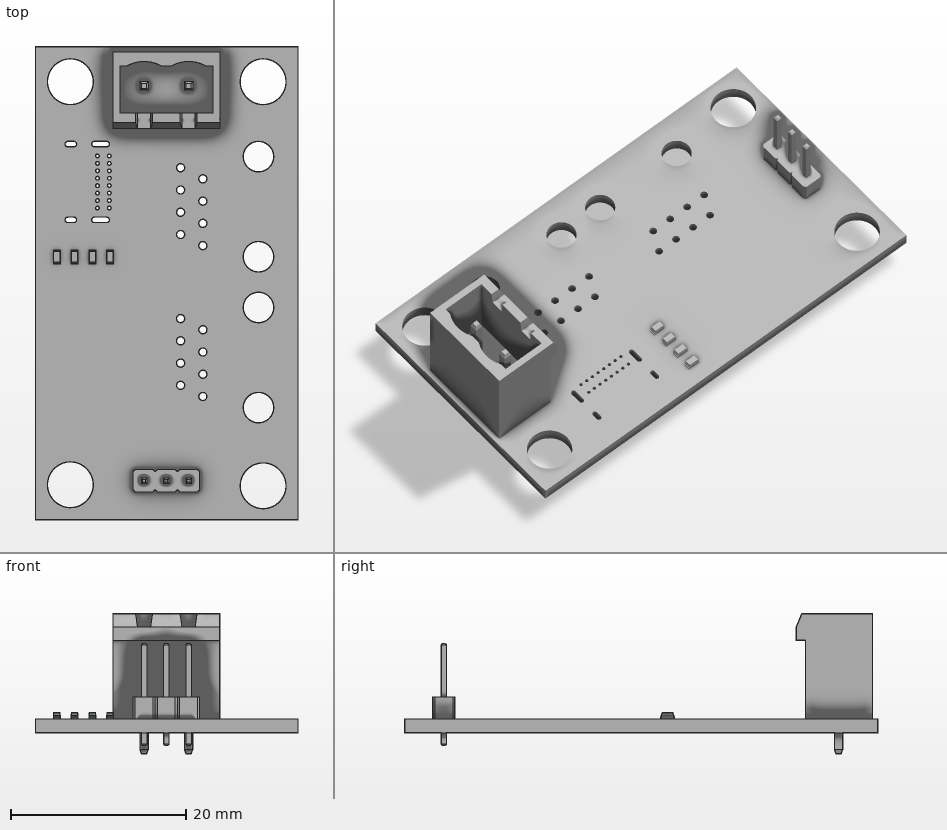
import cadquery as cq

BOARD_X = 30.0
BOARD_Y = 54.0
BOARD_T = 1.6

MOUNT_DIA = 5.2
MOUNT_INSET = 4.0
MOUNT_CORNER_SHIFT = 0.12

JACK_CENTERS_Y = (35.74, 18.52)
POST_DIA = 3.45
POST_X = 25.47
POST_SPACING = 11.43
CONTACT_DIA = 0.9
CONTACT_PITCH = 1.27
CONTACT_COUNT = 8
NEAR_ROW_X = POST_X - 6.35
FAR_ROW_X = NEAR_ROW_X - 2.54

USB_Y = 38.56
USB_HOLE_DIA = 0.4
USB_HOLE_PITCH = 0.85
USB_HOLES_PER_ROW = 8
USB_ROWS_X = (7.09, 8.44)
USB_SLOT_SPACING = 8.65
USB_SLOT_WIDTH = 0.6
USB_SLOTS = ((4.05, 1.3), (7.45, 2.0))

CONNECTOR_X = 14.95

TERMINAL_PITCH = 5.08
BLOCK_X = 12.2
BLOCK_Y = 7.7
BLOCK_H = 12.0
BLOCK_BACK_Y = 53.42
LIP_OVERHANG = 1.03
LIP_BOTTOM_H = 8.95
LIP_BEVEL_H = 1.5
LIP_BEVEL_RUN = 0.63
CAVITY_X = 10.62
CAVITY_BACK_WALL = 1.64
CAVITY_Y = 5.36
CAVITY_DEPTH = 8.5
SCALLOP_WIDTH = 3.95
SCALLOP_DEPTH = 0.54
NOTCH_TOP_WIDTH = 1.95
NOTCH_FLOOR_WIDTH = 1.5
TERMINAL_PIN = 0.98
TERMINAL_PIN_Y = 49.52
TERMINAL_PIN_TOP = 10.1
TERMINAL_PIN_BELOW = 2.4
TERMINAL_PIN_TAPER = 0.2
TERMINAL_PIN_TIP_H = 0.5
TERMINAL_HOLE_DIA = 1.4

HEADER_PITCH = 2.54
HEADER_COUNT = 3
HEADER_Y = 4.465
HEADER_H = 2.5
HEADER_CHAMFER = 0.25
HEADER_PIN = 0.64
HEADER_PIN_TOP = 8.6
HEADER_PIN_BELOW = 1.45
HEADER_PIN_TAPER = 0.16
HEADER_HOLE_DIA = 1.0

LED_COUNT = 4
LED_FIRST_X = 2.45
LED_PITCH = 2.03
LED_Y = 30.0
LED_X = 0.8
LED_LENGTH = 1.6
LED_BASE_H = 0.2
LED_LENS_LENGTH = 1.45
LED_LENS_FOOT_H = 0.15
LED_LENS_TAPER_H = 0.35
LED_LENS_TOP_X = 0.7
LED_LENS_TOP_LENGTH = 1.2


def row(count, pitch, center=0.0):
    """Evenly spaced positions about a centre."""
    return [center + (i - (count - 1) / 2) * pitch for i in range(count)]


TERMINAL_PIN_POINTS = [(x, TERMINAL_PIN_Y) for x in row(2, TERMINAL_PITCH, CONNECTOR_X)]
HEADER_PIN_POINTS = [(x, HEADER_Y) for x in row(HEADER_COUNT, HEADER_PITCH, CONNECTOR_X)]


def square_pin(point, size, bottom, top, taper, tip_height):
    """Square pin whose two ends taper to smaller squares."""
    tip = size - 2 * taper

    def frustum(z, first, last):
        lower = cq.Workplane("XY", origin=(*point, z)).rect(first, first)
        return lower.workplane(offset=tip_height).rect(last, last).loft()

    shank_length = top - bottom - 2 * tip_height
    shank = (
        cq.Workplane("XY", origin=(*point, bottom + tip_height))
        .rect(size, size)
        .extrude(shank_length)
    )
    return shank.union(frustum(bottom, tip, size)).union(frustum(top - tip_height, size, tip))


def drill(points, diameter):
    return cq.Workplane("XY").pushPoints(points).circle(diameter / 2).extrude(BOARD_T)


def make_board():
    board = cq.Workplane("XY").box(BOARD_X, BOARD_Y, BOARD_T, centered=False)

    right_x = BOARD_X - MOUNT_INSET
    back_y = BOARD_Y - MOUNT_INSET
    mounts = [
        (MOUNT_INSET, MOUNT_INSET),
        (MOUNT_INSET, back_y),
        (right_x, back_y),
        (right_x, MOUNT_INSET - MOUNT_CORNER_SHIFT),
    ]
    board = board.cut(drill(mounts, MOUNT_DIA))

    for jack_y in JACK_CENTERS_Y:
        posts = [(POST_X, y) for y in row(2, POST_SPACING, jack_y)]
        contacts = [
            (NEAR_ROW_X if i % 2 == 0 else FAR_ROW_X, y)
            for i, y in enumerate(row(CONTACT_COUNT, CONTACT_PITCH, jack_y))
        ]
        board = board.cut(drill(posts, POST_DIA)).cut(drill(contacts, CONTACT_DIA))

    usb_rows_y = row(USB_HOLES_PER_ROW, USB_HOLE_PITCH, USB_Y)
    usb_holes = [(x, y) for x in USB_ROWS_X for y in usb_rows_y]
    board = board.cut(drill(usb_holes, USB_HOLE_DIA))
    for slot_x, slot_length in USB_SLOTS:
        slot_points = [(slot_x, y) for y in row(2, USB_SLOT_SPACING, USB_Y)]
        slots = cq.Workplane("XY").pushPoints(slot_points).slot2D(slot_length, USB_SLOT_WIDTH)
        board = board.cut(slots.extrude(BOARD_T))

    board = board.cut(drill(TERMINAL_PIN_POINTS, TERMINAL_HOLE_DIA))
    return board.cut(drill(HEADER_PIN_POINTS, HEADER_HOLE_DIA))


def make_terminal_block():
    """Open-topped housing with a latching lip on its -Y side, fused with its two pins."""
    top_z = BOARD_T + BLOCK_H
    bevel_z = top_z - LIP_BEVEL_H
    front_y = BLOCK_BACK_Y - BLOCK_Y
    lip_y = front_y - LIP_OVERHANG
    lip_bottom_z = BOARD_T + LIP_BOTTOM_H
    profile = [
        (BLOCK_BACK_Y, BOARD_T),
        (BLOCK_BACK_Y, top_z),
        (lip_y + LIP_BEVEL_RUN, top_z),
        (lip_y, bevel_z),
        (lip_y, lip_bottom_z),
        (front_y, lip_bottom_z),
        (front_y, BOARD_T),
    ]
    side = cq.Workplane("YZ", origin=(CONNECTOR_X, 0, 0)).polyline(profile).close()
    block = side.extrude(BLOCK_X / 2, both=True)

    back_y = BLOCK_BACK_Y - CAVITY_BACK_WALL
    cavity_front_y = back_y - CAVITY_Y
    left_x = CONNECTOR_X - CAVITY_X / 2
    right_x = CONNECTOR_X + CAVITY_X / 2
    outline = cq.Workplane("XY", origin=(0, 0, top_z - CAVITY_DEPTH))
    outline = outline.moveTo(left_x, cavity_front_y).lineTo(left_x, back_y)
    for x, _ in TERMINAL_PIN_POINTS:
        outline = outline.lineTo(x - SCALLOP_WIDTH / 2, back_y)
        outline = outline.threePointArc((x, back_y + SCALLOP_DEPTH), (x + SCALLOP_WIDTH / 2, back_y))
    outline = outline.lineTo(right_x, back_y).lineTo(right_x, cavity_front_y).close()
    block = block.cut(outline.extrude(CAVITY_DEPTH))

    for x, _ in TERMINAL_PIN_POINTS:
        notch = (
            cq.Workplane("XZ", origin=(x, cavity_front_y, 0))
            .moveTo(-NOTCH_FLOOR_WIDTH / 2, bevel_z)
            .lineTo(NOTCH_FLOOR_WIDTH / 2, bevel_z)
            .lineTo(NOTCH_TOP_WIDTH / 2, top_z)
            .lineTo(-NOTCH_TOP_WIDTH / 2, top_z)
            .close()
            .extrude(cavity_front_y - lip_y)
        )
        block = block.cut(notch)

    for point in TERMINAL_PIN_POINTS:
        pin = square_pin(
            point,
            TERMINAL_PIN,
            -TERMINAL_PIN_BELOW,
            BOARD_T + TERMINAL_PIN_TOP,
            TERMINAL_PIN_TAPER,
            TERMINAL_PIN_TIP_H,
        )
        block = block.union(pin)
    return block


def make_header():
    """One chamfered square cell per pin, fused with the pins into a single body."""
    header = None
    for point in HEADER_PIN_POINTS:
        cell = (
            cq.Workplane("XY", origin=(*point, BOARD_T))
            .rect(HEADER_PITCH, HEADER_PITCH)
            .extrude(HEADER_H)
            .edges("|Z")
            .chamfer(HEADER_CHAMFER)
        )
        header = cell if header is None else header.union(cell)
    for point in HEADER_PIN_POINTS:
        pin = square_pin(
            point,
            HEADER_PIN,
            -HEADER_PIN_BELOW,
            BOARD_T + HEADER_PIN_TOP,
            HEADER_PIN_TAPER,
            HEADER_PIN_TAPER,
        )
        header = header.union(pin)
    return header


def make_led(x):
    """Flat base carrying a shorter lens that narrows towards its top."""
    base = cq.Workplane("XY", origin=(x, LED_Y, BOARD_T)).rect(LED_X, LED_LENGTH).extrude(LED_BASE_H)
    foot = base.faces(">Z").workplane().rect(LED_X, LED_LENS_LENGTH).extrude(LED_LENS_FOOT_H)
    return (
        foot.faces(">Z")
        .workplane()
        .rect(LED_X, LED_LENS_LENGTH)
        .workplane(offset=LED_LENS_TAPER_H)
        .rect(LED_LENS_TOP_X, LED_LENS_TOP_LENGTH)
        .loft(combine=True)
    )


board = make_board()
terminal_block = make_terminal_block()
header = make_header()
leds = [make_led(LED_FIRST_X + i * LED_PITCH) for i in range(LED_COUNT)]

result = cq.Compound.makeCompound(
    [board.val(), terminal_block.val(), header.val(), *[led.val() for led in leds]]
)